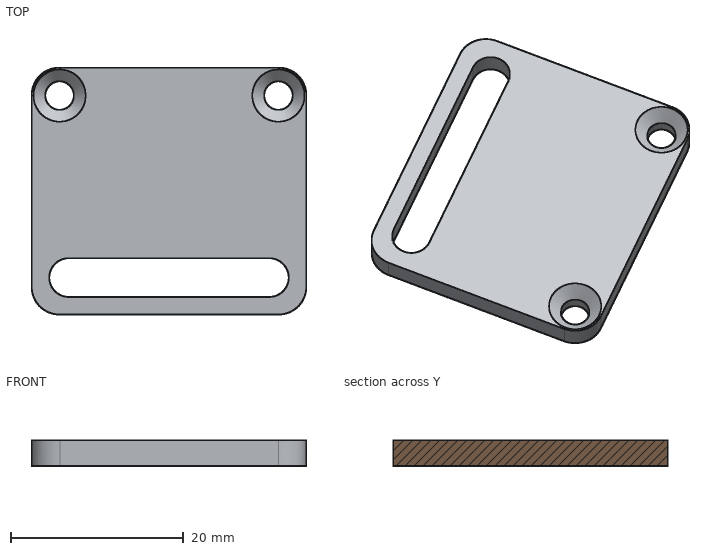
import cadquery as cq

width = 31.8
depth = 28.6
thickness = 3.0
corner_radius = 3.25

hole_diameter = 3.28
sink_diameter = 6.05
sink_angle = 90.0
hole_x = width / 2 - corner_radius
hole_y = depth / 2 - corner_radius

slot_length = 27.67
slot_width = 4.45
slot_to_front_edge = 2.07
slot_y = -depth / 2 + slot_to_front_edge + slot_width / 2


def make_plate():
    plate = cq.Workplane("XY").box(width, depth, thickness)
    return plate.edges("|Z").fillet(corner_radius)


def cut_screw_holes(body):
    return (
        body.faces(">Z")
        .workplane(origin=(0, 0, 0))
        .pushPoints([(-hole_x, hole_y), (hole_x, hole_y)])
        .cskHole(hole_diameter, sink_diameter, sink_angle)
    )


def cut_strap_slot(body):
    return (
        body.faces(">Z")
        .workplane(origin=(0, 0, 0))
        .center(0, slot_y)
        .slot2D(slot_length, slot_width)
        .cutThruAll()
    )


result = cut_strap_slot(cut_screw_holes(make_plate()))